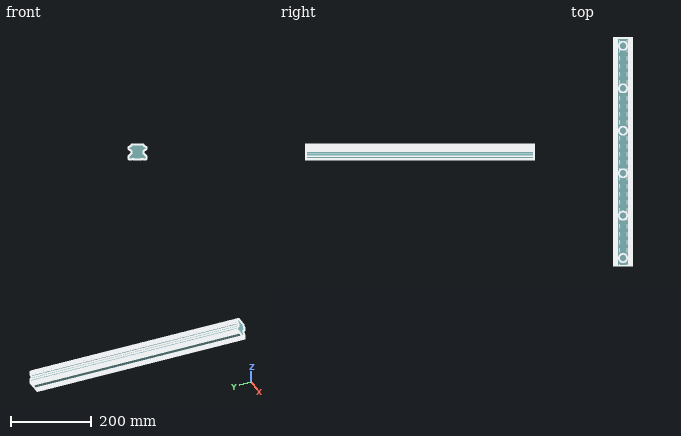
import cadquery as cq

length = 565.0
width = 45.0
height = 38.0
half_width = width / 2

track_edge_half_width = 20.0
head_mid_height = 28.0
head_side_height = 3.5
head_thickness = 9.5
head_side_top = head_mid_height + head_side_height / 2
head_side_bottom = head_mid_height - head_side_height / 2
track_top = head_mid_height + head_thickness / 2
track_bottom = head_mid_height - head_thickness / 2

groove_height = 3.5
groove_bow = 0.3
top_groove_half_width = 16.0
top_groove_height = track_top + groove_height
top_edge_half_width = 14.5

waist_half_width = 15.0
waist_top_height = track_bottom - groove_height
waist_bottom_height = 15.0

foot_height = 8.5
foot_chamfer = 1.5

relief_inner = 9.0
relief_outer = 14.0
relief_depth = 1.0

cap_count = 6
cap_diameter = 20.5
cap_recess = 0.3
cap_pitch = 105.0


def bow_point(inner, outer):
    """Middle of the hollow arc from inner to outer, bowed towards the centre of the rail."""
    (inner_x, inner_z), (outer_x, outer_z) = inner, outer
    bow_x = abs(outer_z - inner_z) * groove_bow
    bow_z = (outer_z - inner_z) / (outer_x - inner_x) * bow_x
    return ((inner_x + outer_x) / 2 - bow_x, (inner_z + outer_z) / 2 + bow_z)


def make_rail():
    """Draw the right half of the section, mirror it and extrude along Y about the origin."""
    waist_top = (waist_half_width, waist_top_height)
    lower_track_edge = (track_edge_half_width, track_bottom)
    upper_track_edge = (track_edge_half_width, track_top)
    top_groove_edge = (top_groove_half_width, top_groove_height)
    half_section = (
        cq.Workplane("XZ")
        .lineTo(relief_inner, 0)
        .lineTo(relief_inner, relief_depth)
        .lineTo(relief_outer, relief_depth)
        .lineTo(relief_outer, 0)
        .lineTo(half_width - foot_chamfer, 0)
        .lineTo(half_width, foot_chamfer)
        .lineTo(half_width, foot_height)
        .lineTo(waist_half_width, waist_bottom_height)
        .tangentArcPoint(waist_top, relative=False)
        .threePointArc(bow_point(waist_top, lower_track_edge), lower_track_edge)
        .lineTo(half_width, head_side_bottom)
        .lineTo(half_width, head_side_top)
        .lineTo(*upper_track_edge)
        .threePointArc(bow_point(top_groove_edge, upper_track_edge), top_groove_edge)
        .lineTo(top_edge_half_width, height)
        .lineTo(0, height)
    )
    return half_section.mirrorY().extrude(length / 2, both=True)


def make_cap_recesses():
    """Row of shallow discs just under the top face."""
    return (
        cq.Workplane("XY", origin=(0, 0, height - cap_recess))
        .rarray(5.5, cap_pitch, 1, cap_count)
        .circle(cap_diameter / 2)
        .extrude(cap_recess)
    )


result = make_rail().cut(make_cap_recesses())